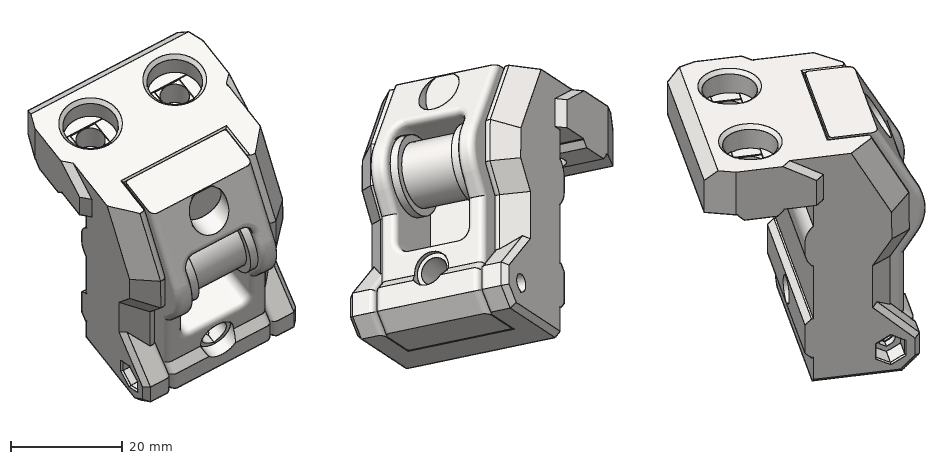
import cadquery as cq
import math

HEIGHT = 49.4

PLATE_HALF_Y = 36.0 / 2
PLATE_BOTTOM_Z = 40.05
PLATE_EDGE_CHAMFER = 2.35
PLATE_CORNER_X = 5.45
PLATE_CORNER_Y = 2.0
WING_TOP_END_X = 15.65
WING_END_X = 21.9
WING_SHOULDER_Z = 45.5

RIB_START = 5.8
RIB_LENGTH = 8.5
RIB_CHAMFER = 1.2
PLATE_RIB_HEIGHT = 1.4
COLUMN_RIB_HEIGHT = 1.55

COLUMN_X = 20.0
COLUMN_HALF_Y = 16.4
COLUMN_BASE_Z = 4.95
BACK_TOP_X = 31.55
BACK_BULGE_TOP_X = 38.45
BACK_BULGE_LOW_X = 38.55
BACK_BULGE_TOP_Z = 36.5
BACK_BULGE_LOW_Z = 28.45
BACK_WAIST_X = 34.98
BACK_WAIST_Z = 23.1
BACK_CHAMFER = 4.05
BUMP_LOW_Z = 25.7
BUMP_HIGH_Z = 34.45
BUMP_FLAT_LOW_Z = 28.85
BUMP_FLAT_HIGH_Z = 31.05

FOOT_BACK_X = 39.75
FOOT_LOW_CHAMFER = 3.25
FOOT_SLOPE_Z = 7.8
FOOT_SIDE_CHAMFER = 1.05
FOOT_INNER_X = 24.7

SLOT_X = 23.95
SLOT_HALF_Y = 10.95
SLOT_TOP_CHAMFER = 0.35
SLOT_CORNER = FOOT_LOW_CHAMFER
CHEEK_FILLET = 1.0

BOLT_D = 5.3
HEAD_BORE_D = 10.0
HEAD_BORE_CHAMFER = 0.75
HEAD_BORE_FLOOR_Z = 44.75
BRIDGE_STEP = 0.2
PLATE_BOLT_X = 10.0
PLATE_BOLT_Y = 18.05 / 2
COLUMN_BOLT_Z = 9.95
TEARDROP_ANGLE = 30.0
ARM_HEAD_BORE_D = 7.0
ARM_HEAD_FLOOR_X = 37.05

PIVOT_X = 34.3
PIVOT_Z = 5.5
PIVOT_D = 3.3
NUT_FLATS = 5.65
NUT_DEPTH = 3.95
NUT_LEAD_DEPTH = 0.4
NUT_LEAD_WIDTH = 0.2

ARM_GAP = 0.2
ARM_FRONT_FILLET = 0.65
ARM_TOP_X = 33.2
ARM_WAIST_X = 38.05
ARM_FILLET = 1.2
TOP_BORE_D = 7.75
TOP_BORE_LOW_Z = 45.05
TOP_BORE_HIGH_Z = 45.75
TOP_BORE_FLOOR_X = 33.3

PULLEY_X = 33.1
PULLEY_Z = 31.0
PULLEY_D = 12.2
FLANGE_D = 15.0
PULLEY_HALF_Y = 7.1
FLANGE_WIDTH = 1.6
PULLEY_RADIAL_GAP = 0.2
PULLEY_SIDE_GAP = 0.25
FLANGE_CLEARANCE_STEP = 0.1
POCKET_FLOOR_Z = 14.8
POCKET_CORNER_R = 2.2
POCKET_MOUTH_FILLET = 1.1
BULGE_R = 8.9
BULGE_HIGH_ANGLE = 28.7
BULGE_LOW_ANGLE = -32.7

PICK = 0.05


def extrude_across(outline, half_y):
    """Extrude an XZ outline evenly to both sides of Y = 0."""
    return outline.extrude(half_y, both=True)


def region(x_min, x_max, z_min, z_max, y_min=-PLATE_HALF_Y, y_max=PLATE_HALF_Y):
    """Selector for edges whose center lies in a box."""
    return cq.selectors.BoxSelector((x_min, y_min, z_min), (x_max, y_max, z_max))


def teardrop(plane, u, z, diameter):
    """Round hole outline whose lower side ends in a shallow point."""
    r = diameter / 2
    a = math.radians(TEARDROP_ANGLE)
    side, low = r * math.sin(a), z - r * math.cos(a)
    return (
        cq.Workplane(plane)
        .moveTo(u - side, low)
        .threePointArc((u, z + r), (u + side, low))
        .lineTo(u, z - r / math.cos(a))
        .close()
    )


def rib(base_x, base_z, along, out, height, half_y):
    """Chamfered rib on a flat face; along and out are XZ unit directions."""
    profile = [
        (0, -RIB_CHAMFER),
        (0, height - RIB_CHAMFER),
        (RIB_CHAMFER, height),
        (RIB_LENGTH - RIB_CHAMFER, height),
        (RIB_LENGTH, height - RIB_CHAMFER),
        (RIB_LENGTH, -RIB_CHAMFER),
    ]
    points = [
        (base_x + s * along[0] + h * out[0], base_z + s * along[1] + h * out[1])
        for s, h in profile
    ]
    return extrude_across(cq.Workplane("XZ").polyline(points).close(), half_y)


def make_plate():
    wing = PLATE_HALF_Y - COLUMN_HALF_Y
    half_plan = [
        (0, PLATE_HALF_Y - PLATE_CORNER_Y),
        (PLATE_CORNER_X, PLATE_HALF_Y),
        (WING_END_X - wing, PLATE_HALF_Y),
        (WING_END_X, COLUMN_HALF_Y),
    ]
    plan = half_plan + [(x, -y) for x, y in reversed(half_plan)]
    plate = (
        cq.Workplane("XY", origin=(0, 0, PLATE_BOTTOM_Z))
        .polyline(plan).close()
        .extrude(HEIGHT - PLATE_BOTTOM_Z)
        .edges("<X and >Z").chamfer(PLATE_EDGE_CHAMFER)
    )
    wedge = (
        cq.Workplane("XZ", origin=(0, COLUMN_HALF_Y, 0))
        .polyline([(WING_TOP_END_X, HEIGHT), (WING_END_X, WING_SHOULDER_Z), (WING_END_X, HEIGHT)])
        .close()
        .workplane(offset=-wing)
        .polyline([
            (WING_TOP_END_X - wing, HEIGHT),
            (WING_END_X - wing, WING_SHOULDER_Z),
            (WING_END_X - wing, HEIGHT),
        ])
        .close()
        .loft(ruled=True)
    )
    return plate.cut(wedge).cut(wedge.mirror("XZ"))


def make_column():
    back = [
        (BACK_TOP_X, HEIGHT),
        (BACK_BULGE_TOP_X, BACK_BULGE_TOP_Z),
        (BACK_BULGE_LOW_X, BACK_BULGE_LOW_Z),
        (BACK_WAIST_X, BACK_WAIST_Z),
        (BACK_WAIST_X, COLUMN_BASE_Z),
    ]
    outline = [(COLUMN_X, COLUMN_BASE_Z), (COLUMN_X, HEIGHT)] + back
    column = extrude_across(cq.Workplane("XZ").polyline(outline).close(), COLUMN_HALF_Y)
    back_edges = region(BACK_TOP_X, HEIGHT, COLUMN_BASE_Z + PICK, HEIGHT - PICK)
    column = column.edges("#Y").edges(back_edges).chamfer(BACK_CHAMFER)
    return column.union(make_foot())


def make_foot():
    slope_top_z = FOOT_SLOPE_Z + FOOT_BACK_X - FOOT_INNER_X
    outline = [
        (COLUMN_X, 0),
        (FOOT_BACK_X - FOOT_LOW_CHAMFER, 0),
        (FOOT_BACK_X, FOOT_LOW_CHAMFER),
        (FOOT_BACK_X, FOOT_SLOPE_Z),
        (FOOT_INNER_X, slope_top_z),
        (COLUMN_X, slope_top_z),
    ]
    foot = extrude_across(cq.Workplane("XZ").polyline(outline).close(), COLUMN_HALF_Y)
    outer_rim = region(COLUMN_X + PICK, HEIGHT, -PICK, slope_top_z - PICK)
    return foot.edges("#Y").edges(outer_rim).chamfer(FOOT_SIDE_CHAMFER)


def make_bump():
    """Rounded bump across the column face."""
    face_x = COLUMN_X - COLUMN_RIB_HEIGHT
    high = (face_x, BUMP_FLAT_HIGH_Z)
    low = (face_x, BUMP_FLAT_LOW_Z)
    outline = (
        cq.Workplane("XZ")
        .moveTo(*low)
        .lineTo(*high)
        .tangentArcPoint((COLUMN_X, BUMP_HIGH_Z), relative=False)
        .lineTo(SLOT_X, BUMP_HIGH_Z)
        .lineTo(SLOT_X, BUMP_LOW_Z)
        .lineTo(COLUMN_X, BUMP_LOW_Z)
    )
    r = ((BUMP_FLAT_LOW_Z - BUMP_LOW_Z) ** 2 + COLUMN_RIB_HEIGHT ** 2) / (2 * COLUMN_RIB_HEIGHT)
    half = math.asin((BUMP_FLAT_LOW_Z - BUMP_LOW_Z) / r) / 2
    middle = (face_x + r * (1 - math.cos(half)), BUMP_FLAT_LOW_Z - r * math.sin(half))
    return extrude_across(outline.threePointArc(middle, low).close(), COLUMN_HALF_Y)


def cut_arm_slot(body):
    """Cut the slot, open at the back, with a bevelled top rim and a sloping lower corner."""
    reach = HEIGHT - SLOT_X
    slot = extrude_across(
        cq.Workplane("XZ").polyline([
            (SLOT_X, SLOT_CORNER),
            (SLOT_X, HEIGHT),
            (HEIGHT, HEIGHT),
            (HEIGHT, 0),
            (SLOT_X + SLOT_CORNER, 0),
        ]).close(),
        SLOT_HALF_Y,
    )
    rim = (
        cq.Workplane("XY", origin=(HEIGHT, 0, HEIGHT - SLOT_TOP_CHAMFER))
        .rect(2 * reach, 2 * SLOT_HALF_Y)
        .workplane(offset=SLOT_TOP_CHAMFER)
        .rect(2 * (reach + SLOT_TOP_CHAMFER), 2 * (SLOT_HALF_Y + SLOT_TOP_CHAMFER))
        .loft(ruled=True)
    )
    body = body.cut(slot).cut(rim)
    for y in (-SLOT_HALF_Y, SLOT_HALF_Y):
        cheek_edge = region(
            BACK_WAIST_X - BACK_CHAMFER, HEIGHT, PICK, HEIGHT - PICK, y - PICK, y + PICK
        )
        body = body.edges(cheek_edge).fillet(CHEEK_FILLET)
    return body


def plate_bolt_cutter(y):
    """Counterbored bolt hole with two bridging steps under the head."""
    def level(z):
        return cq.Workplane("XY", origin=(PLATE_BOLT_X, y, z))

    depth = HEIGHT - HEAD_BORE_FLOOR_Z
    head = level(HEAD_BORE_FLOOR_Z).circle(HEAD_BORE_D / 2).extrude(depth)
    mouth = (
        level(HEIGHT - HEAD_BORE_CHAMFER).circle(HEAD_BORE_D / 2)
        .workplane(offset=HEAD_BORE_CHAMFER).circle(HEAD_BORE_D / 2 + HEAD_BORE_CHAMFER)
        .loft()
    )
    groove = (
        level(HEAD_BORE_FLOOR_Z - BRIDGE_STEP).rect(BOLT_D, HEAD_BORE_D).extrude(BRIDGE_STEP)
        .intersect(level(0).circle(HEAD_BORE_D / 2).extrude(HEIGHT))
    )
    square = level(HEAD_BORE_FLOOR_Z - 2 * BRIDGE_STEP).rect(BOLT_D, BOLT_D).extrude(BRIDGE_STEP)
    rib_bottom_z = PLATE_BOTTOM_Z - PLATE_RIB_HEIGHT
    shank = level(rib_bottom_z).circle(BOLT_D / 2).extrude(HEAD_BORE_FLOOR_Z - rib_bottom_z)
    return head.union(mouth).union(groove).union(square).union(shank)


def pivot_hole():
    return extrude_across(teardrop("XZ", PIVOT_X, PIVOT_Z, PIVOT_D), COLUMN_HALF_Y)


def column_bolt_hole():
    return teardrop("YZ", 0, COLUMN_BOLT_Z, BOLT_D).extrude(HEIGHT)


def nut_pocket():
    """Hexagonal recess in the -Y cheek, points up and down, with a small lead-in."""
    def hexagon(depth, flats):
        return (
            cq.Workplane("XZ", origin=(PIVOT_X, depth - COLUMN_HALF_Y, PIVOT_Z))
            .transformed(rotate=(0, 0, 90))
            .polygon(6, flats / math.cos(math.pi / 6))
        )

    inner_flats = NUT_FLATS - 2 * NUT_LEAD_WIDTH
    pocket = hexagon(NUT_DEPTH, inner_flats).extrude(NUT_DEPTH)
    lead = (
        hexagon(NUT_LEAD_DEPTH, inner_flats)
        .workplane(offset=NUT_LEAD_DEPTH)
        .polygon(6, NUT_FLATS / math.cos(math.pi / 6))
        .loft(ruled=True)
    )
    return pocket.union(lead)


def make_housing():
    plate_rib = rib(RIB_START, PLATE_BOTTOM_Z, (1, 0), (0, -1), PLATE_RIB_HEIGHT, PLATE_HALF_Y)
    column_rib = rib(COLUMN_X, RIB_START, (0, 1), (-1, 0), COLUMN_RIB_HEIGHT, COLUMN_HALF_Y)
    body = cut_arm_slot(make_column())
    body = body.union(make_plate()).union(plate_rib).union(make_bump()).union(column_rib)
    for y in (-PLATE_BOLT_Y, PLATE_BOLT_Y):
        body = body.cut(plate_bolt_cutter(y))
    return body.cut(column_bolt_hole()).cut(pivot_hole()).cut(nut_pocket())


def bulge_point(angle_deg):
    """Point of the bulge arc, by the angle of its outward normal above +X."""
    a = math.radians(angle_deg)
    return (PULLEY_X + BULGE_R * math.cos(a), PULLEY_Z + BULGE_R * math.sin(a))


def make_arm_blank():
    front_x = SLOT_X + ARM_GAP
    half_y = SLOT_HALF_Y - ARM_GAP
    low = bulge_point(BULGE_LOW_ANGLE)
    waist_z = low[1] - (low[0] - ARM_WAIST_X) / math.tan(math.radians(-BULGE_LOW_ANGLE))
    outline = (
        cq.Workplane("XZ")
        .moveTo(front_x, SLOT_CORNER + ARM_GAP)
        .lineTo(front_x, HEIGHT)
        .lineTo(ARM_TOP_X, HEIGHT)
        .lineTo(*bulge_point(BULGE_HIGH_ANGLE))
        .threePointArc(bulge_point(0), low)
        .lineTo(ARM_WAIST_X, waist_z)
        .lineTo(ARM_WAIST_X, FOOT_SLOPE_Z + FOOT_BACK_X - ARM_WAIST_X)
        .lineTo(FOOT_BACK_X, FOOT_SLOPE_Z)
        .lineTo(FOOT_BACK_X, FOOT_LOW_CHAMFER)
        .lineTo(FOOT_BACK_X - FOOT_LOW_CHAMFER, 0)
        .lineTo(front_x + SLOT_CORNER + ARM_GAP, 0)
        .close()
    )
    blank = extrude_across(outline, half_y)
    back = region(ARM_TOP_X, HEIGHT, PICK, HEIGHT - PICK)
    blank = blank.edges("#Y").edges(back).fillet(ARM_FILLET)
    return blank.edges("<X and |Z").fillet(ARM_FRONT_FILLET)


def cut_pulley_pocket(arm):
    reach = FLANGE_D / 2 + PULLEY_RADIAL_GAP
    half_y = PULLEY_HALF_Y + PULLEY_SIDE_GAP
    ceiling_z = PULLEY_Z + reach
    pocket = (
        cq.Workplane("YZ", origin=(PULLEY_X - reach, 0, (ceiling_z + POCKET_FLOOR_Z) / 2))
        .rect(2 * half_y, ceiling_z - POCKET_FLOOR_Z)
        .extrude(HEIGHT)
        .edges("|X").fillet(POCKET_CORNER_R)
    )
    arm = arm.cut(pocket)
    mouth = region(
        PULLEY_X, HEIGHT,
        POCKET_FLOOR_Z - PICK, ceiling_z + PICK,
        -half_y - PICK, half_y + PICK,
    )
    arm = arm.edges(mouth).edges("not |X").fillet(POCKET_MOUTH_FILLET)
    clearance = extrude_across(
        cq.Workplane("XZ", origin=(PULLEY_X, 0, PULLEY_Z)).circle(reach - FLANGE_CLEARANCE_STEP),
        half_y,
    )
    return arm.cut(clearance)


def make_arm():
    arm = cut_pulley_pocket(make_arm_blank())
    top_bore = (
        cq.Workplane("YZ", origin=(TOP_BORE_FLOOR_X, 0, (TOP_BORE_LOW_Z + TOP_BORE_HIGH_Z) / 2))
        .slot2D(TOP_BORE_HIGH_Z - TOP_BORE_LOW_Z + TOP_BORE_D, TOP_BORE_D, 90)
        .extrude(HEIGHT)
    )
    head_bore = (
        cq.Workplane("YZ", origin=(ARM_HEAD_FLOOR_X, 0, COLUMN_BOLT_Z))
        .circle(ARM_HEAD_BORE_D / 2)
        .extrude(HEIGHT)
    )
    arm = arm.cut(top_bore).cut(head_bore)
    return arm.cut(column_bolt_hole()).cut(pivot_hole())


def make_pulley():
    barrel = (
        cq.Workplane("XZ", origin=(PULLEY_X, 0, PULLEY_Z))
        .circle(PULLEY_D / 2).extrude(PULLEY_HALF_Y, both=True)
    )
    flange = (
        cq.Workplane("XZ", origin=(PULLEY_X, PULLEY_HALF_Y, PULLEY_Z))
        .circle(FLANGE_D / 2).extrude(FLANGE_WIDTH)
    )
    return barrel.union(flange).union(flange.mirror("XZ"))


housing = make_housing()
arm = make_arm()
pulley = make_pulley()

result = cq.Compound.makeCompound([
    housing.solids().val(),
    arm.solids().val(),
    pulley.solids().val(),
])